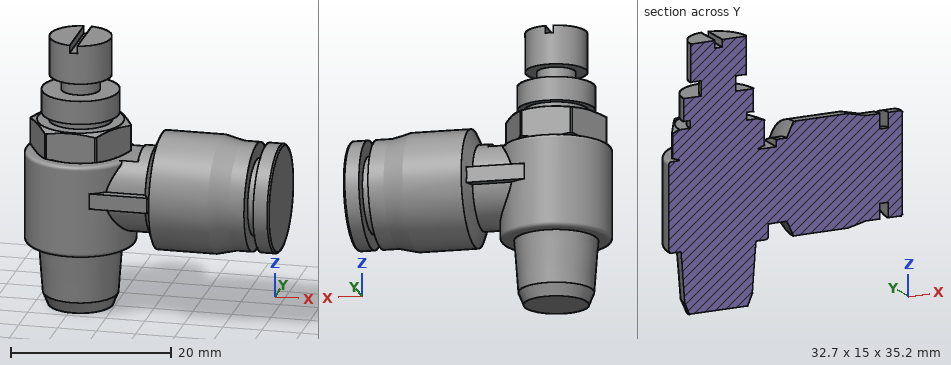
import cadquery as cq


tip_radius = 4.1
tip_chamfer_top = 1.6
thread_end_radius = 4.75
thread_top = 6.8
thread_top_radius = 5.15
spigot_root_radius = 5.28
body_bottom = 8.27
body_top = 20.25
body_radius = 7.0
body_fillet = 0.5

nut_flats = 11.3
nut_turned_radius = 6.45
nut_top = 24.25
nut_chamfer_radial = 1.0
nut_chamfer_height = 0.35

lower_neck_radius = 8.0 / 2
ring_bottom = 25.2
ring_top = 28.23
ring_radius = 9.8 / 2
upper_neck_radius = 4.9 / 2
head_bottom = 30.15
head_top = 35.2
head_radius = 7.8 / 2
slot_width = 1.0
slot_depth = 1.0

arm_axis_z = 15.75
arm_neck_radius = 5.45
shoulder_start = 9.5
shoulder_end = 10.45
sleeve_radius = 15.0 / 2
sleeve_end = 18.0
taper_end = 20.52
collar_radius = 13.8 / 2
groove_start = 22.53
groove_end = 23.7
groove_radius = 9.8 / 2
arm_end = 25.7
end_chamfer = 0.2
neck_flat_end = 8.03

rib_width = 13.0
rib_height = 2.0
rib_end = 10.03


def disc(radius, bottom, top):
    return cq.Workplane("XY").workplane(offset=bottom).circle(radius).extrude(top - bottom)


def make_spigot():
    profile = [
        (0, 0),
        (tip_radius, 0),
        (thread_end_radius, tip_chamfer_top),
        (thread_top_radius, thread_top),
        (spigot_root_radius, body_bottom),
        (0, body_bottom),
    ]
    return cq.Workplane("XZ").polyline(profile).close().revolve(360, (0, 0), (0, 1))


def make_body():
    return disc(body_radius, body_bottom, body_top).faces("<Z or >Z").edges().fillet(body_fillet)


def make_nut():
    hexagon = (
        cq.Workplane("XY")
        .workplane(offset=body_top)
        .polygon(6, nut_flats, circumscribed=True)
        .extrude(nut_top - body_top)
    )
    turned_blank = (
        disc(nut_turned_radius, body_top, nut_top)
        .faces(">Z")
        .chamfer(nut_chamfer_height, nut_chamfer_radial)
        .faces("<Z")
        .chamfer(nut_chamfer_height, nut_chamfer_radial)
    )
    return hexagon.rotate((0, 0, 0), (0, 0, 1), 30).intersect(turned_blank)


def make_screw():
    slot = cq.Workplane("XY").box(slot_width, 2 * head_radius, 2 * slot_depth)
    head = disc(head_radius, head_bottom, head_top).cut(slot.translate((0, 0, head_top)))
    return (
        disc(lower_neck_radius, nut_top, ring_bottom)
        .union(disc(ring_radius, ring_bottom, ring_top))
        .union(disc(upper_neck_radius, ring_top, head_bottom))
        .union(head)
    )


def make_arm():
    profile = [
        (0, 0),
        (0, arm_neck_radius),
        (shoulder_start, arm_neck_radius),
        (shoulder_end, sleeve_radius),
        (sleeve_end, sleeve_radius),
        (taper_end, collar_radius),
        (groove_start, collar_radius),
        (groove_start, groove_radius),
        (groove_end, groove_radius),
        (groove_end, collar_radius),
        (arm_end - end_chamfer, collar_radius),
        (arm_end, collar_radius - end_chamfer),
        (arm_end, 0),
    ]
    arm = (
        cq.Workplane("XZ")
        .polyline(profile)
        .close()
        .revolve(360, (0, 0), (1, 0))
        .translate((0, 0, arm_axis_z))
    )
    crown_cut = (
        cq.Workplane("XY")
        .workplane(offset=body_top)
        .rect(2 * neck_flat_end, 2 * arm_neck_radius)
        .extrude(arm_neck_radius)
    )
    return arm.cut(crown_cut)


def make_ribs():
    bar = cq.Workplane("XY").box(rib_end, rib_width, rib_height, centered=(False, True, True))
    return bar.translate((0, 0, arm_axis_z))


result = (
    make_spigot()
    .union(make_body())
    .union(make_nut())
    .union(make_screw())
    .union(make_arm())
    .union(make_ribs())
)